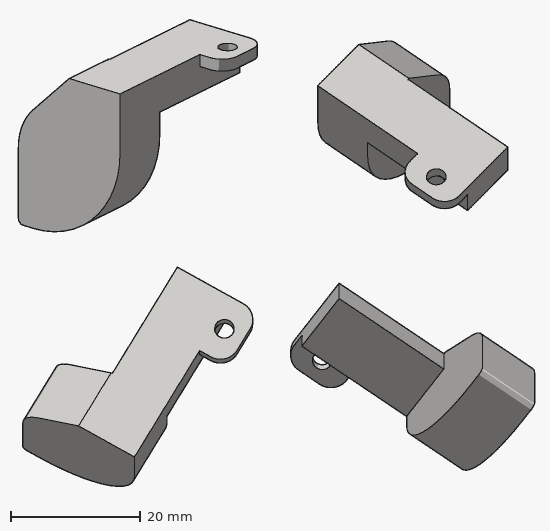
import cadquery as cq
import math

length = 30.0
height = 27.0
tab_reach = 4.98

block_width = 20.0
block_depth = length / 3
bevel = block_width / 2
shoulder_radius = 10.0
belly_radius = 17.0
toe_radius = 1.0

arm_width = 9.8
arm_height = 6.35

tab_length = length / 3
tab_thickness = 2.0
tab_corner_radius = 3.0
hole_diameter = 3.0
hole_offset = 1.53


def make_block():
    """Extrude the rounded X-Z outline along +Y."""
    diagonal = math.sqrt(0.5)
    half_angle = math.radians(22.5)
    shoulder_run = shoulder_radius * (1 - diagonal)
    shoulder_tangent = shoulder_radius * math.tan(half_angle)
    shoulder_bottom = height - bevel - shoulder_tangent
    shoulder_top = shoulder_bottom + shoulder_radius * diagonal
    shoulder_mid = (
        shoulder_radius * (1 - math.cos(half_angle)),
        shoulder_bottom + shoulder_radius * math.sin(half_angle),
    )
    belly_mid = (
        block_width - belly_radius * (1 - diagonal),
        belly_radius * (1 - diagonal),
    )
    toe_mid = (toe_radius * (1 - diagonal), toe_radius * (1 - diagonal))
    return (
        cq.Workplane("XZ")
        .moveTo(bevel, height)
        .lineTo(block_width, height)
        .lineTo(block_width, belly_radius)
        .threePointArc(belly_mid, (block_width - belly_radius, 0))
        .lineTo(toe_radius, 0)
        .threePointArc(toe_mid, (0, toe_radius))
        .lineTo(0, shoulder_bottom)
        .threePointArc(shoulder_mid, (shoulder_run, shoulder_top))
        .close()
        .extrude(-block_depth)
    )


def make_arm():
    """Straight bar flush with the top and right side of the block."""
    return cq.Workplane("XY").box(
        arm_width, length - block_depth, arm_height, centered=False
    ).translate((block_width - arm_width, block_depth, height - arm_height))


def make_tab():
    """Thin tab with two rounded outer corners and a through hole."""
    tab = (
        cq.Workplane("XY")
        .box(tab_reach, tab_length, tab_thickness, centered=False)
        .edges("|Z and >X")
        .fillet(tab_corner_radius)
    )
    hole = (
        cq.Workplane("XY")
        .center(hole_offset, tab_length / 2)
        .circle(hole_diameter / 2)
        .extrude(tab_thickness)
    )
    return tab.cut(hole).translate(
        (block_width, length - tab_length, height - tab_thickness)
    )


result = make_block().union(make_arm()).union(make_tab())